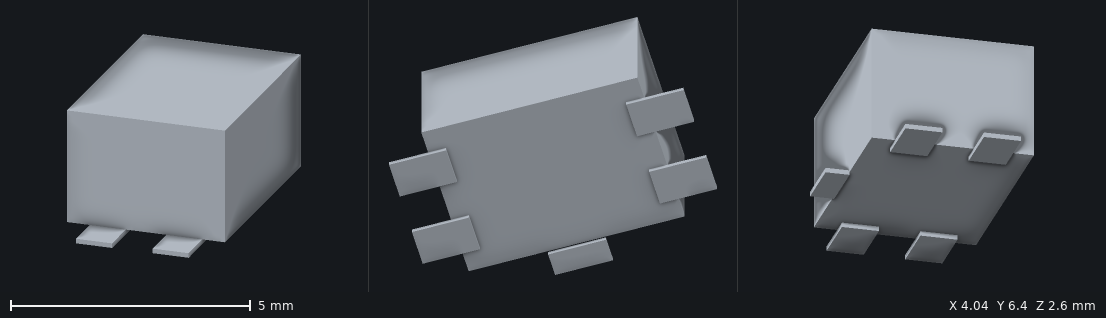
import cadquery as cq

body_width = 3.5
body_length = 4.7
body_height = 2.495

lead_thickness = 0.1
overall_length = 6.4
lead_width = 0.8
lead_length = 1.24
lead_pitch = 1.695

overall_width = 4.04
tab_width = 0.52
tab_length = 1.255

tab_outer_x = body_width / 2 - overall_width
lead_center_y = (overall_length - lead_length) / 2


def make_body():
    """Plain rectangular block resting on the leads."""
    return (
        cq.Workplane("XY", origin=(0, 0, lead_thickness))
        .box(body_width, body_length, body_height, centered=(True, True, False))
    )


def make_lead(center_x, center_y):
    """Flat end lead, partly underneath the body."""
    return (
        cq.Workplane("XY", origin=(center_x, center_y, 0))
        .box(lead_width, lead_length, lead_thickness, centered=(True, True, False))
    )


def make_side_tab():
    """Flat plate whose outer edge is the -X limit of the part."""
    return (
        cq.Workplane("XY", origin=(tab_outer_x, 0, 0))
        .box(tab_width, tab_length, lead_thickness, centered=(False, True, False))
    )


body = make_body()
side_tab = make_side_tab()

leads = []
for x_side in (-1, 1):
    for y_side in (-1, 1):
        lead = make_lead(x_side * lead_pitch / 2, y_side * lead_center_y)
        leads.append(lead.val())

result = cq.Compound.makeCompound([body.val(), side_tab.val(), *leads])